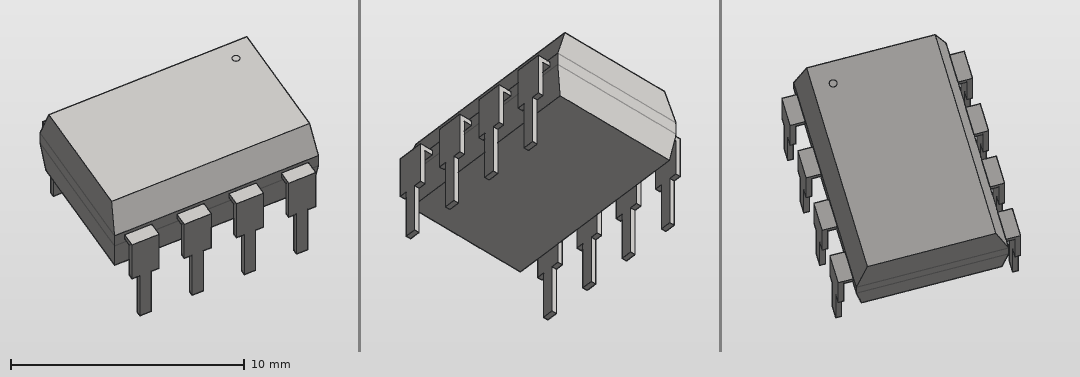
import cadquery as cq

body_length = 9.91
body_width = 6.79
lead_span = 8.13
total_height = 6.48

body_bottom_z = 2.69
band_bottom_z = 4.24
band_top_z = 4.89
top_width = 5.72
bottom_width = 6.26
end_length = 9.62

leads_per_row = 4
lead_pitch = 2.54
lead_thickness = 0.26
lead_top_z = 4.7
shoulder_bottom_z = 2.54
shoulder_width = 1.32
tip_width = 0.555

marker_diameter = 0.34
marker_depth = 0.1
marker_x = -1.96

lead_y_positions = [(i - (leads_per_row - 1) / 2) * lead_pitch for i in range(leads_per_row)]
marker_y = lead_y_positions[-1]


def make_taper(start_z, end_z, end_width):
    """Tapered block from the waist outline at start_z to a smaller outline at end_z."""
    return (
        cq.Workplane("XY", origin=(0, 0, start_z))
        .rect(body_width, body_length)
        .workplane(offset=end_z - start_z)
        .rect(end_width, end_length)
        .loft(ruled=True)
    )


def make_marker():
    """Disc whose upper face lies in the top face of the body."""
    return (
        cq.Workplane("XY", origin=(marker_x, marker_y, total_height - marker_depth))
        .circle(marker_diameter / 2)
        .extrude(marker_depth)
    )


def make_body():
    """Moulded body with a recess that fits the marker."""
    band = (
        cq.Workplane("XY", origin=(0, 0, band_bottom_z))
        .rect(body_width, body_length)
        .extrude(band_top_z - band_bottom_z)
    )
    upper = make_taper(band_top_z, total_height, top_width)
    lower = make_taper(band_bottom_z, body_bottom_z, bottom_width)
    return band.union(upper).union(lower).cut(make_marker()).solids()


def make_lead(y):
    """Bent lead on the -X side: wide down to its shoulder, then a narrow tip."""
    outer_x = -lead_span / 2
    inner_x = outer_x + lead_thickness
    body_side_x = -body_width / 2
    arm_bottom_z = lead_top_z - lead_thickness
    bent_strip = (
        cq.Workplane("XZ", origin=(0, y, 0))
        .moveTo(outer_x, shoulder_bottom_z)
        .lineTo(outer_x, lead_top_z)
        .lineTo(body_side_x, lead_top_z)
        .lineTo(body_side_x, arm_bottom_z)
        .lineTo(inner_x, arm_bottom_z)
        .lineTo(inner_x, shoulder_bottom_z)
        .close()
        .extrude(shoulder_width / 2, both=True)
    )
    tip = (
        cq.Workplane("XY", origin=(outer_x + lead_thickness / 2, y, 0))
        .rect(lead_thickness, tip_width)
        .extrude(shoulder_bottom_z)
    )
    return bent_strip.union(tip).solids()


body = make_body()
marker = make_marker()

leads = []
for lead_y in lead_y_positions:
    left_lead = make_lead(lead_y)
    right_lead = left_lead.mirror("YZ").solids()
    leads.extend([left_lead.val(), right_lead.val()])

result = cq.Compound.makeCompound([body.val(), marker.val(), *leads])